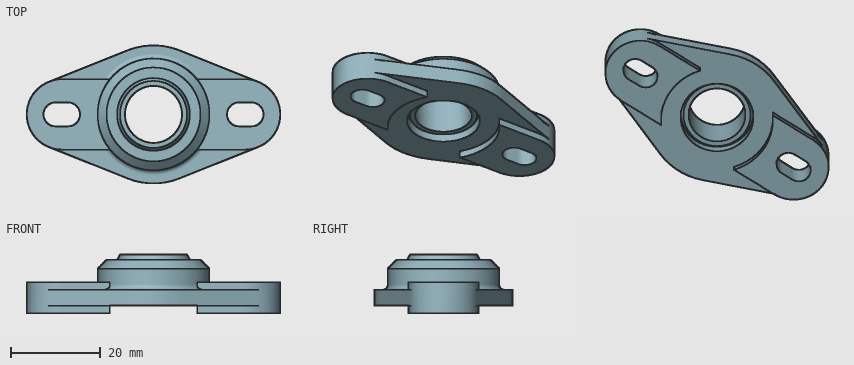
import cadquery as cq
import math


ear_height = 7.0
ear_radius = 7.85
ear_offset = 20.5
slot_width = 5.3
slot_length = 8.1

plate_thickness = 3.6
plate_radius = 15.455
plate_bottom = (ear_height - plate_thickness) / 2
plate_top = plate_bottom + plate_thickness

barrel_radius = 12.5
barrel_top = 12.0
barrel_chamfer = 2.0
root_fillet = 1.0

ball_radius = 9.0
ball_width = 10.0
bore_diameter = 12.7
ball_face_top = 13.16
ball_center = ball_face_top - ball_width / 2

mouth_radius = math.sqrt(ball_radius**2 - (barrel_top - ball_center) ** 2)


def diamond_plate():
    """Outline of a large central circle joined to both ear circles by tangent lines."""
    tangent_sine = (plate_radius - ear_radius) / ear_offset
    tangent_cosine = math.sqrt(1 - tangent_sine**2)
    center_x = plate_radius * tangent_sine
    center_y = plate_radius * tangent_cosine
    ear_x = ear_offset + ear_radius * tangent_sine
    ear_y = ear_radius * tangent_cosine
    tip_x = ear_offset + ear_radius
    return (
        cq.Workplane("XY")
        .workplane(offset=plate_bottom)
        .moveTo(-center_x, center_y)
        .threePointArc((0, plate_radius), (center_x, center_y))
        .lineTo(ear_x, ear_y)
        .threePointArc((tip_x, 0), (ear_x, -ear_y))
        .lineTo(center_x, -center_y)
        .threePointArc((0, -plate_radius), (-center_x, -center_y))
        .lineTo(-ear_x, -ear_y)
        .threePointArc((-tip_x, 0), (-ear_x, ear_y))
        .close()
        .extrude(plate_thickness)
    )


def bolt_ears():
    """Two thick round-ended ears, cut back to the barrel circle."""
    bar = cq.Workplane("XY").slot2D(2 * (ear_offset + ear_radius), 2 * ear_radius).extrude(ear_height)
    clearance = cq.Workplane("XY").circle(barrel_radius).extrude(ear_height)
    return bar.cut(clearance)


def barrel():
    """Chamfered round barrel with a concave fillet at its root on the plate."""
    arc_offset = root_fillet * (1 - math.sqrt(0.5))
    return (
        cq.Workplane("XZ")
        .moveTo(0, plate_bottom)
        .lineTo(barrel_radius + root_fillet, plate_bottom)
        .lineTo(barrel_radius + root_fillet, plate_top)
        .threePointArc(
            (barrel_radius + arc_offset, plate_top + arc_offset),
            (barrel_radius, plate_top + root_fillet),
        )
        .lineTo(barrel_radius, barrel_top - barrel_chamfer)
        .lineTo(barrel_radius - barrel_chamfer, barrel_top)
        .lineTo(0, barrel_top)
        .close()
        .revolve(360, (0, 0, 0), (0, 1, 0))
    )


def full_ball():
    return cq.Workplane("XY").sphere(ball_radius).translate((0, 0, ball_center))


def ball_socket():
    """Spherical seat, opened through the underside at the same radius as the upper mouth."""
    lower_opening = cq.Workplane("XY").circle(mouth_radius).extrude(ball_center)
    return full_ball().union(lower_opening)


def ear_slots():
    return (
        cq.Workplane("XY")
        .pushPoints([(-ear_offset, 0), (ear_offset, 0)])
        .slot2D(slot_length, slot_width)
        .extrude(ear_height)
    )


def flange_housing():
    solid = diamond_plate().union(bolt_ears()).union(barrel())
    return solid.cut(ball_socket()).cut(ear_slots())


def ball_bushing():
    """Ball cut to two flat faces, with a straight bore."""
    sleeve = (
        cq.Workplane("XY")
        .workplane(offset=ball_face_top - ball_width)
        .circle(ball_radius)
        .circle(bore_diameter / 2)
        .extrude(ball_width)
    )
    return full_ball().intersect(sleeve)


housing = flange_housing().solids()
bushing = ball_bushing().solids()

result = cq.Compound.makeCompound([housing.val(), bushing.val()])